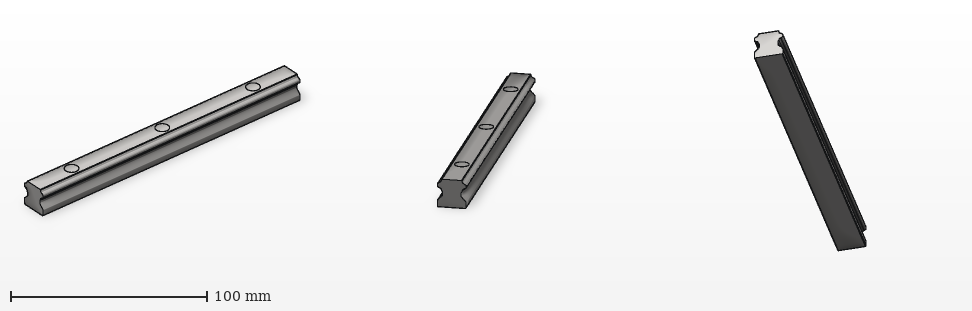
import cadquery as cq
import math

WIDTH = 15.0
LENGTH = 170.0
HEIGHT = 15.0
HALF_WIDTH = WIDTH / 2

FOOT_CHAMFER = 0.4
SHOULDER_CORNER_Z = 3.65
SHOULDER_RADIUS = 1.3

WAIST_HALF_WIDTH = 4.85
WAIST_RADIUS = 0.8
WAIST_TOP_Z = 8.2

NOSE_Z = 11.75
NOSE_HALF_FLAT = 0.37
NOSE_RADIUS = 0.75
NOSE_TURN = math.radians(57)
LIP_X = 6.45

TRACK_INNER_X = 5.4
TRACK_SAG = 0.3
UPPER_TRACK_END_Z = 14.75
LOWER_TRACK_END_Z = 9.1

TOP_HALF_WIDTH = 5.1

CAP_DIAMETER = 7.5
CAP_RECESS = 0.1
CAP_COUNT = 3
CAP_PITCH = 60.0

BEND_SETBACK = math.tan(math.radians(45 / 2))
DIAGONAL = math.sqrt(0.5)


def half_rail(side):
    """Half of the rail from the centre plane outwards; side is +1 or -1 along X."""
    shoulder_leg = SHOULDER_RADIUS * BEND_SETBACK
    shoulder_end_x = HALF_WIDTH - shoulder_leg * DIAGONAL
    shoulder_end_z = SHOULDER_CORNER_Z + shoulder_leg * DIAGONAL

    waist_leg = WAIST_RADIUS * BEND_SETBACK
    waist_corner_z = SHOULDER_CORNER_Z + HALF_WIDTH - WAIST_HALF_WIDTH
    waist_start_x = WAIST_HALF_WIDTH + waist_leg * DIAGONAL
    waist_start_z = waist_corner_z - waist_leg * DIAGONAL

    nose_round_x = HALF_WIDTH - NOSE_RADIUS * (1 - math.cos(NOSE_TURN))
    nose_round_offset = NOSE_HALF_FLAT + NOSE_RADIUS * math.sin(NOSE_TURN)
    lip_offset = nose_round_offset + (nose_round_x - LIP_X) / math.tan(NOSE_TURN)

    def at(x, z):
        return (side * x, z)

    outline = (
        cq.Workplane("XZ")
        .lineTo(*at(HALF_WIDTH - FOOT_CHAMFER, 0))
        .lineTo(*at(HALF_WIDTH, FOOT_CHAMFER))
        .lineTo(*at(HALF_WIDTH, SHOULDER_CORNER_Z - shoulder_leg))
        .radiusArc(at(shoulder_end_x, shoulder_end_z), -side * SHOULDER_RADIUS)
        .lineTo(*at(waist_start_x, waist_start_z))
        .radiusArc(at(WAIST_HALF_WIDTH, waist_corner_z + waist_leg), side * WAIST_RADIUS)
        .lineTo(*at(WAIST_HALF_WIDTH, WAIST_TOP_Z))
        .lineTo(*at(TRACK_INNER_X, LOWER_TRACK_END_Z))
        .sagittaArc(at(LIP_X, NOSE_Z - lip_offset), side * TRACK_SAG)
        .lineTo(*at(nose_round_x, NOSE_Z - nose_round_offset))
        .radiusArc(at(HALF_WIDTH, NOSE_Z - NOSE_HALF_FLAT), -side * NOSE_RADIUS)
        .lineTo(*at(HALF_WIDTH, NOSE_Z + NOSE_HALF_FLAT))
        .radiusArc(at(nose_round_x, NOSE_Z + nose_round_offset), -side * NOSE_RADIUS)
        .lineTo(*at(LIP_X, NOSE_Z + lip_offset))
        .sagittaArc(at(TRACK_INNER_X, UPPER_TRACK_END_Z), side * TRACK_SAG)
        .lineTo(*at(TOP_HALF_WIDTH, HEIGHT))
        .lineTo(0, HEIGHT)
        .close()
    )
    return outline.extrude(LENGTH / 2, both=True)


def cap_recesses():
    """Shallow round recesses along the middle of the top face."""
    return (
        cq.Workplane("XY", origin=(0, 0, HEIGHT))
        .rarray(1, CAP_PITCH, 1, CAP_COUNT)
        .circle(CAP_DIAMETER / 2)
        .extrude(-CAP_RECESS)
    )


result = half_rail(1).union(half_rail(-1)).cut(cap_recesses())